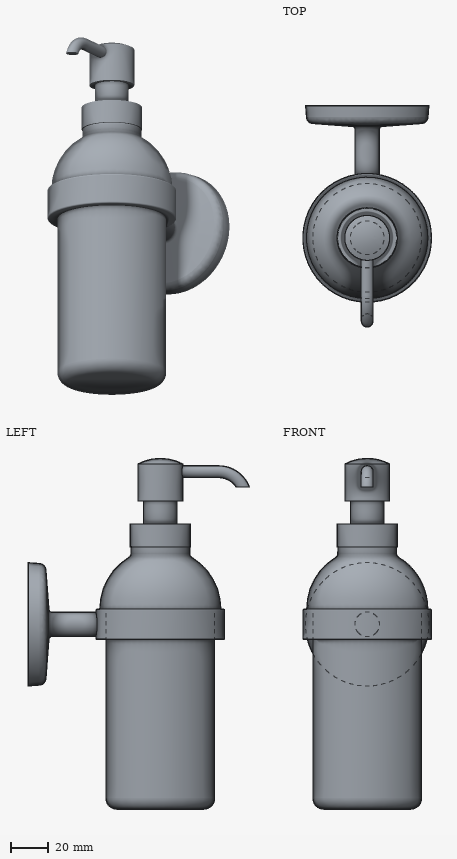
import cadquery as cq


total_height = 187.6

body_radius = 29.0
base_fillet = 6.0
shoulder_z = 107.0
dome_radius = 32.5
neck_radius = 15.8
neck_top_z = 140.4
neck_rim_fillet = 0.8
neck_root_fillet = 1.9
edge_search_margin = 1.0

collar_radius = 16.1
collar_height = 12.2
stem_radius = 9.0
cap_radius = 12.0
cap_bottom_z = 164.7
cap_dome_height = 3.0
spout_radius = 3.2
spout_drop = 7.1
spout_straight_end = 31.1
spout_bend_radius = 14.5
spout_tip_z = 172.3

ring_diameter = 68.9
ring_radius = ring_diameter / 2
ring_height = 16.1
ring_fillet = 0.8
arm_radius = 6.5
wall_y = 70.7
plate_back_radius = 33.0
plate_front_radius = 32.3
plate_edge_thickness = 9.4
plate_centre_thickness = 11.8
plate_fillet = 3.8
arm_root_fillet = 1.3


def make_bottle():
    """Cylindrical body with an overhanging hemispherical dome and a short neck."""
    body = cq.Workplane("XY").circle(body_radius).extrude(shoulder_z)
    body = body.faces("<Z").edges().fillet(base_fillet)

    shoulder = cq.Workplane("XY").workplane(offset=shoulder_z)
    dome = shoulder.sphere(dome_radius, angle1=0)

    neck = shoulder.circle(neck_radius).extrude(neck_top_z - shoulder_z)
    top = dome.union(neck)
    neck_root_z = shoulder_z + (dome_radius**2 - neck_radius**2) ** 0.5
    root_zone = cq.selectors.BoxSelector(
        (-dome_radius, -dome_radius, neck_root_z - edge_search_margin),
        (dome_radius, dome_radius, neck_root_z + edge_search_margin),
    )
    top = top.edges(root_zone).edges("%CIRCLE").fillet(neck_root_fillet)
    top = top.faces(">Z").edges().fillet(neck_rim_fillet)
    return body.union(top)


def make_spout():
    """Straight tube that bends down in an arc and ends in a level cut."""
    axis_z = total_height - spout_drop
    straight = (
        cq.Workplane("XZ", origin=(0, 0, axis_z))
        .circle(spout_radius)
        .extrude(spout_straight_end)
    )
    bend = (
        cq.Workplane("XZ", origin=(0, -spout_straight_end, axis_z))
        .circle(spout_radius)
        .revolve(90, (0, -spout_bend_radius, 0), (1, -spout_bend_radius, 0))
    )
    spout = straight.union(bend)
    bend_width = 2 * (spout_bend_radius + spout_radius)
    below_tip = (
        cq.Workplane("XY", origin=(0, -spout_straight_end, spout_tip_z))
        .rect(bend_width, bend_width)
        .extrude(-bend_width)
    )
    return spout.cut(below_tip)


def make_pump():
    """Collar, stem and domed cap as one turned shape, with the spout on the cap."""
    collar_top_z = neck_top_z + collar_height
    cap_edge_z = total_height - cap_dome_height
    crown_radius = (cap_radius**2 + cap_dome_height**2) / (2 * cap_dome_height)

    turned = (
        cq.Workplane("XZ")
        .moveTo(0, neck_top_z)
        .lineTo(collar_radius, neck_top_z)
        .lineTo(collar_radius, collar_top_z)
        .lineTo(stem_radius, collar_top_z)
        .lineTo(stem_radius, cap_bottom_z)
        .lineTo(cap_radius, cap_bottom_z)
        .lineTo(cap_radius, cap_edge_z)
        .radiusArc((0, total_height), -crown_radius)
        .close()
        .revolve(360, (0, 0, 0), (0, 1, 0))
    )
    return turned.union(make_spout())


def make_holder():
    """Wall plate, arm and ring; the bottle body passes through the ring."""
    arm_z = shoulder_z - ring_height / 2

    plate = (
        cq.Workplane("XY", origin=(0, wall_y, arm_z))
        .lineTo(plate_back_radius, 0)
        .lineTo(plate_front_radius, -plate_edge_thickness)
        .lineTo(0, -plate_centre_thickness)
        .close()
        .revolve(360, (0, 0, 0), (0, 1, 0))
    )
    plate = plate.edges("%CIRCLE").edges("<Y").fillet(plate_fillet)

    arm = (
        cq.Workplane("XZ", origin=(0, wall_y, arm_z))
        .circle(arm_radius)
        .extrude(wall_y - body_radius)
    )
    mount = plate.union(arm)
    plate_front_y = wall_y - plate_centre_thickness
    arm_root_zone = cq.selectors.BoxSelector(
        (-arm_radius, plate_front_y - edge_search_margin, arm_z - arm_radius),
        (arm_radius, plate_front_y + edge_search_margin, arm_z + arm_radius),
    )
    mount = mount.edges(arm_root_zone).edges("%CIRCLE").fillet(arm_root_fillet)

    band = (
        cq.Workplane("XY", origin=(0, 0, shoulder_z))
        .circle(ring_radius)
        .extrude(-ring_height)
        .edges("%CIRCLE")
        .fillet(ring_fillet)
    )
    bore = (
        cq.Workplane("XY", origin=(0, 0, shoulder_z))
        .circle(body_radius)
        .extrude(-ring_height)
    )
    return mount.union(band).cut(bore)


bottle = make_bottle()
pump = make_pump()
holder = make_holder()

result = cq.Compound.makeCompound(
    [bottle.solids().val(), pump.solids().val(), holder.solids().val()]
)